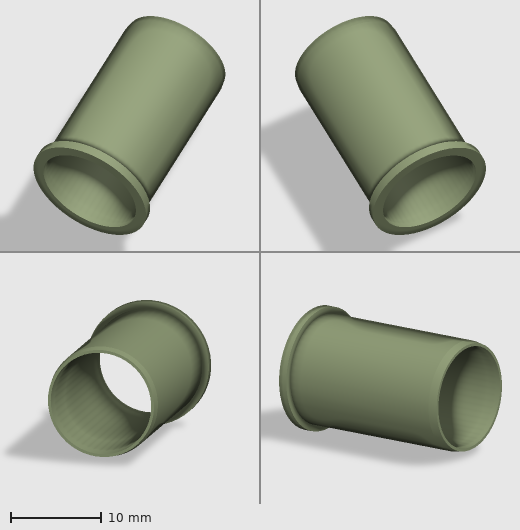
import cadquery as cq
import math

total_length = 21.0
flange_diameter = 14.0
flange_thickness = 1.0
body_diameter = 12.5
bore_diameter = 11.5
lead_in_length = 1.0
lead_in_angle = 10.0

flange_radius = flange_diameter / 2
body_radius = body_diameter / 2
bore_radius = bore_diameter / 2
tip_radius = body_radius - lead_in_length * math.tan(math.radians(lead_in_angle))
lead_in_start = total_length - lead_in_length


def sleeve():
    """Revolve the half section (radius along X, length along Y) about the Y axis."""
    half_section = (
        cq.Workplane("XY")
        .moveTo(bore_radius, 0)
        .lineTo(flange_radius, 0)
        .lineTo(flange_radius, flange_thickness)
        .lineTo(body_radius, flange_thickness)
        .lineTo(body_radius, lead_in_start)
        .lineTo(tip_radius, total_length)
        .lineTo(bore_radius, total_length)
        .close()
    )
    return half_section.revolve(360, (0, 0, 0), (0, 1, 0))


result = sleeve()